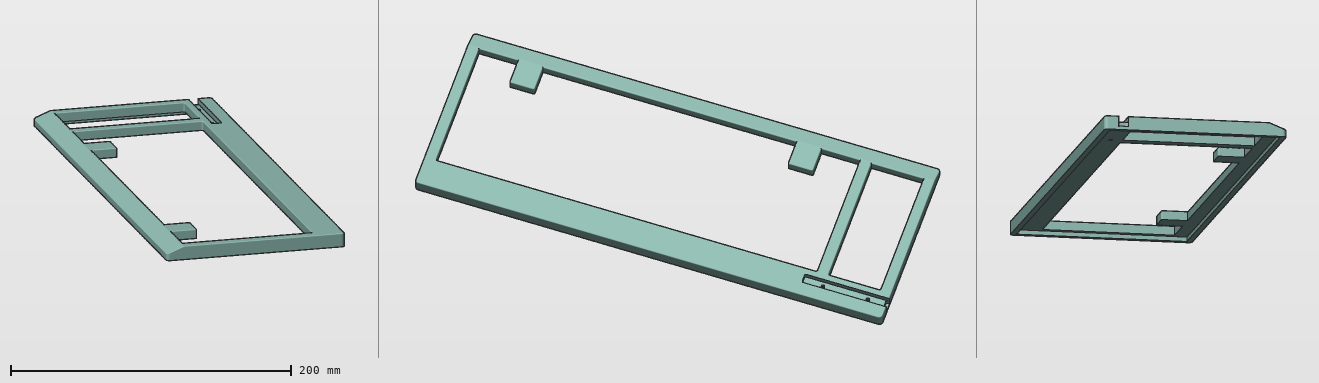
import cadquery as cq

length = 351.3
width = 132.0
height = 10.0
corner_radius = 2.8
edge_radius = 0.63
inner_corner_radius = 1.25

slope_depth = 12.5
front_edge_height = 5.0

window_front = 14.0
window_back = 110.0
small_window = (8.5, 47.5)
large_window = (56.2, 342.5)

tab_width = 19.0
tab_back = 33.0
tab_starts = (85.0, 294.5)

recess_depth = 3.0
rim_thickness = 4.2

groove_length = 63.5
groove_width = 7.0
groove_front = 115.0
groove_depth = 4.0
entry_length = 2.5
entry_floor = 2.5
hole_diameter = 2.5
hole_positions = (15.0, 49.0)


def block(x_range, y_range, z_range):
    """Axis-aligned block spanning the given ranges."""
    sizes = [end - start for start, end in (x_range, y_range, z_range)]
    corner = (x_range[0], y_range[0], z_range[0])
    return cq.Workplane("XY").box(*sizes, centered=False).translate(corner)


def outer_body():
    """Solid bar with a sloped front and rounded plan corners."""
    profile = [
        (0, 0),
        (width, 0),
        (width, height),
        (slope_depth, height),
        (0, front_edge_height),
    ]
    bar = cq.Workplane("YZ").polyline(profile).close().extrude(length)
    plan = block((0, length), (0, width), (0, height)).edges("|Z").fillet(corner_radius)
    return bar.intersect(plan)


def window_openings():
    """Both windows, with the support tabs left standing in the large one."""
    window_y = (window_front, window_back)
    small = block(small_window, window_y, (0, height))
    large = block(large_window, window_y, (0, height))
    openings = small.union(large).edges("|Z and >Y").fillet(inner_corner_radius)
    for start in tab_starts:
        tab = block((start, start + tab_width), (window_front, tab_back), (0, height))
        openings = openings.cut(tab.edges("|Z and >Y").fillet(inner_corner_radius))
    return openings


def underside_recess():
    """Shallow recess that leaves the outer rim standing."""
    return block(
        (rim_thickness, length - rim_thickness),
        (rim_thickness, width - rim_thickness),
        (0, recess_depth),
    )


def groove():
    """Blind groove whose open end is stepped down."""
    groove_y = (groove_front, groove_front + groove_width)
    channel = block((0, groove_length), groove_y, (height - groove_depth, height))
    channel = channel.edges("|Z and >X").fillet(inner_corner_radius)
    open_end = block((0, entry_length), groove_y, (entry_floor, height))
    open_end = open_end.edges("|Z and >X").fillet(inner_corner_radius)
    return channel.union(open_end)


def groove_holes():
    """Holes through the groove floor."""
    centers = [(x, groove_front + groove_width / 2) for x in hole_positions]
    return cq.Workplane("XY").pushPoints(centers).circle(hole_diameter / 2).extrude(height)


frame = outer_body().cut(window_openings())
upper_faces = "%PLANE and (not #Z) and (not <Z)"
frame = frame.faces(upper_faces).edges().fillet(edge_radius)
frame = frame.cut(underside_recess()).cut(groove()).cut(groove_holes())

result = frame